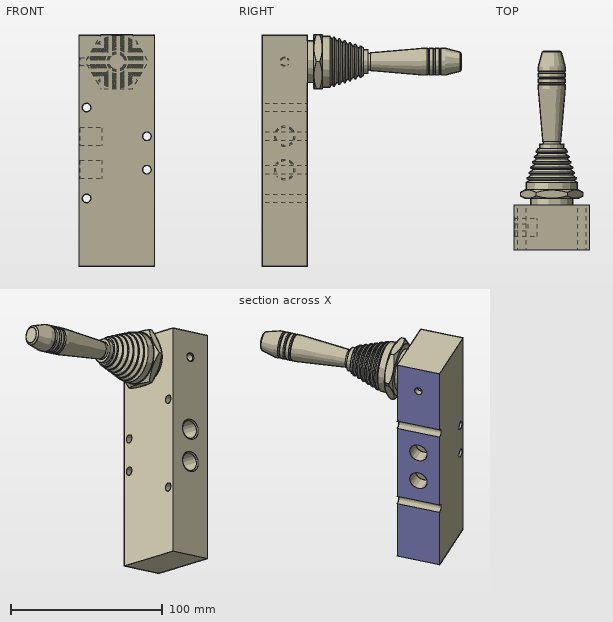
import cadquery as cq
import math

block_width = 50.0
block_depth = 30.0
block_height = 153.0

mount_hole_d = 5.5
mount_hole_x = 20.0
mount_centre_z = 75.0
mount_wide_offset = 30.1
mount_near_offset = 11.0

port_d = 12.0
port_mouth_d = 13.7
port_depth = 15.4
pilot_d = 4.9
pilot_mouth_d = 6.0
pilot_depth = 9.2

nut_flats = 35.9
nut_face_d = 35.0
nut_chamfer_angle = 30.0
nut_start_y = 34.1
nut_end_y = 40.0
overall_height = 153.5
lever_z = overall_height - nut_flats / 2
stem_d = 28.0

flange_d = 34.0
flange_end_y = 44.8

ring_count = 6
ring_pitch = 3.5
ring_shrink = 1.2
first_crest_y = 47.6
first_crest_edge_r = 16.0
first_root_r = 14.9
crest_bulge = 0.5
crest_half_width = 0.5
root_setback = 1.4

shoulder_r = 9.2
collar_d = 16.0
collar_start_y = 67.2
collar_end_y = 70.1
neck_groove_r = 5.5

handle_small_d = 12.0
handle_start_y = 71.8
grip_d = 18.0
grip_start_y = 106.5
grip_end_y = 121.4
grip_groove_pitch = 3.8
grip_groove_width = 1.5
grip_groove_depth = 0.6

tip_d = 12.9
tip_face_d = 10.5
tip_y = 132.0
tip_chamfer = 0.9


def side_port(z, diameter, mouth_diameter, depth):
    """Cutter for a blind hole with a 45 degree mouth, going in from the -X face."""
    face_plane = cq.Workplane("YZ", origin=(-block_width / 2, block_depth / 2, z))
    bore = face_plane.circle(diameter / 2).extrude(depth)
    mouth_depth = (mouth_diameter - diameter) / 2
    mouth = cq.Solid.makeCone(
        mouth_diameter / 2,
        diameter / 2,
        mouth_depth,
        pnt=face_plane.plane.origin,
        dir=cq.Vector(1, 0, 0),
    )
    return bore.union(cq.Workplane(mouth))


def make_block():
    block = cq.Workplane("XY").box(
        block_width, block_depth, block_height, centered=(True, False, False)
    )
    for side in (-1, 1):
        mount_centres = [
            (-mount_hole_x, mount_centre_z + side * mount_wide_offset),
            (mount_hole_x, mount_centre_z + side * mount_near_offset),
        ]
        mount_holes = (
            cq.Workplane("XZ")
            .pushPoints(mount_centres)
            .circle(mount_hole_d / 2)
            .extrude(-block_depth)
        )
        port_z = mount_centre_z + side * mount_near_offset
        block = block.cut(mount_holes)
        block = block.cut(side_port(port_z, port_d, port_mouth_d, port_depth))
    return block.cut(side_port(lever_z, pilot_d, pilot_mouth_d, pilot_depth))


def add_bellows(profile):
    """Continue the half profile from the flange over all the rings."""
    for ring in range(ring_count):
        crest_y = first_crest_y + ring * ring_pitch
        edge_r = first_crest_edge_r - ring * ring_shrink
        root_r = first_root_r - ring * ring_shrink
        profile = (
            profile.lineTo(root_r, crest_y - root_setback)
            .lineTo(edge_r, crest_y - crest_half_width)
            .threePointArc(
                (edge_r + crest_bulge, crest_y), (edge_r, crest_y + crest_half_width)
            )
        )
    return profile


def add_grip(profile):
    """Continue the half profile over the cylindrical grip with its V grooves."""
    grip_r = grip_d / 2
    grip_middle_y = (grip_start_y + grip_end_y) / 2
    profile = profile.lineTo(grip_r, grip_start_y)
    for step in (-1, 0, 1):
        groove_y = grip_middle_y + step * grip_groove_pitch
        profile = (
            profile.lineTo(grip_r, groove_y - grip_groove_width / 2)
            .lineTo(grip_r - grip_groove_depth, groove_y)
            .lineTo(grip_r, groove_y + grip_groove_width / 2)
        )
    return profile.lineTo(grip_r, grip_end_y)


def make_turned_lever():
    """Stem, flange, bellows, handle and grip as one revolved half profile."""
    profile = (
        cq.Workplane("XY", origin=(0, 0, lever_z))
        .moveTo(0, block_depth)
        .lineTo(stem_d / 2, block_depth)
        .lineTo(stem_d / 2, nut_end_y)
        .lineTo(flange_d / 2, nut_end_y)
        .lineTo(flange_d / 2, flange_end_y)
    )
    profile = (
        add_bellows(profile)
        .lineTo(shoulder_r, collar_start_y)
        .lineTo(collar_d / 2, collar_start_y)
        .lineTo(collar_d / 2, collar_end_y)
        .lineTo(handle_small_d / 2, collar_end_y)
        .threePointArc(
            (neck_groove_r, (collar_end_y + handle_start_y) / 2),
            (handle_small_d / 2, handle_start_y),
        )
    )
    profile = (
        add_grip(profile)
        .lineTo(tip_d / 2, tip_y - tip_chamfer)
        .lineTo(tip_face_d / 2, tip_y)
        .lineTo(0, tip_y)
        .close()
    )
    return profile.revolve(360, (0, 0, 0), (0, 1, 0))


def make_nut():
    """Hexagon with flats at top and bottom, both faces chamfered by a cone."""
    corner_d = nut_flats / math.cos(math.pi / 6)
    nut_length = nut_end_y - nut_start_y
    hexagon = (
        cq.Workplane("XZ", origin=(0, nut_start_y, lever_z))
        .polygon(6, corner_d)
        .extrude(-nut_length)
    )
    corner_drop = (corner_d - nut_face_d) / 2 * math.tan(math.radians(nut_chamfer_angle))
    chamfer_envelope = (
        cq.Workplane("XY", origin=(0, 0, lever_z))
        .moveTo(0, nut_start_y)
        .lineTo(nut_face_d / 2, nut_start_y)
        .lineTo(corner_d / 2, nut_start_y + corner_drop)
        .lineTo(corner_d / 2, nut_end_y - corner_drop)
        .lineTo(nut_face_d / 2, nut_end_y)
        .lineTo(0, nut_end_y)
        .close()
        .revolve(360, (0, 0, 0), (0, 1, 0))
    )
    return hexagon.intersect(chamfer_envelope)


valve_block = make_block()
lever = make_turned_lever().union(make_nut())

result = cq.Compound.makeCompound([valve_block.val(), lever.val()])